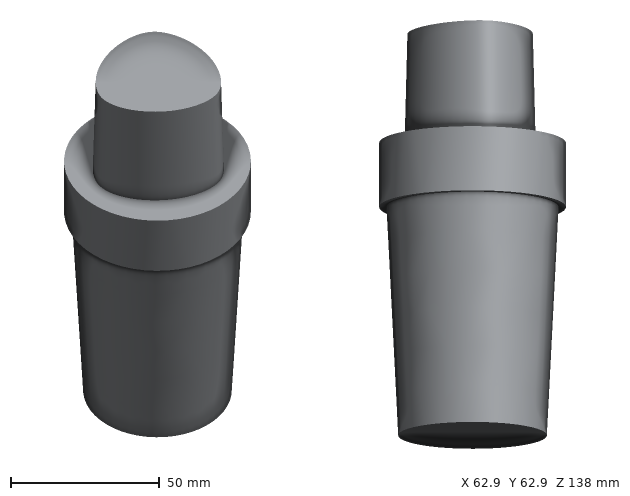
import cadquery as cq
import math

total_length = 138.0
flange_diameter = 62.9
flange_thickness = 22.0
shank_length = 38.0
shank_base_width = 44.2
shank_tip_width = 42.2
lobe_height = 1.4
body_top_diameter = 58.0
body_bottom_diameter = 50.1

lobe_count = 3
curve_segments = 36

flange_bottom = total_length - shank_length - flange_thickness
flange_top = flange_bottom + flange_thickness


def lobed_point(turn, width):
    """Point on a constant-width trilobe curve; turn runs 0 to 1, from the lobe on -Y."""
    from_lobe = 2 * math.pi * turn
    support = width / 2 + lobe_height * math.cos(lobe_count * from_lobe)
    support_slope = -lobe_count * lobe_height * math.sin(lobe_count * from_lobe)
    normal = from_lobe - math.pi / 2
    x = support * math.cos(normal) - support_slope * math.sin(normal)
    y = support * math.sin(normal) + support_slope * math.cos(normal)
    return x, y


def lobed_points(width):
    """Evenly turned points once around the trilobe curve."""
    return [lobed_point(step / curve_segments, width) for step in range(curve_segments)]


def tapered_body():
    """Round body that widens from its free end to the flange."""
    return (
        cq.Workplane("XY")
        .circle(body_bottom_diameter / 2)
        .workplane(offset=flange_bottom)
        .circle(body_top_diameter / 2)
        .loft(ruled=True)
    )


def flange():
    """Plain cylindrical collar between the body and the shank."""
    return (
        cq.Workplane("XY", origin=(0, 0, flange_bottom))
        .circle(flange_diameter / 2)
        .extrude(flange_thickness)
    )


def lobed_shank():
    """Three-lobed shank that narrows towards its tip."""
    return (
        cq.Workplane("XY", origin=(0, 0, flange_top))
        .spline(lobed_points(shank_base_width), periodic=True)
        .close()
        .workplane(offset=shank_length)
        .spline(lobed_points(shank_tip_width), periodic=True)
        .close()
        .loft(ruled=True)
    )


result = tapered_body().union(flange()).union(lobed_shank())